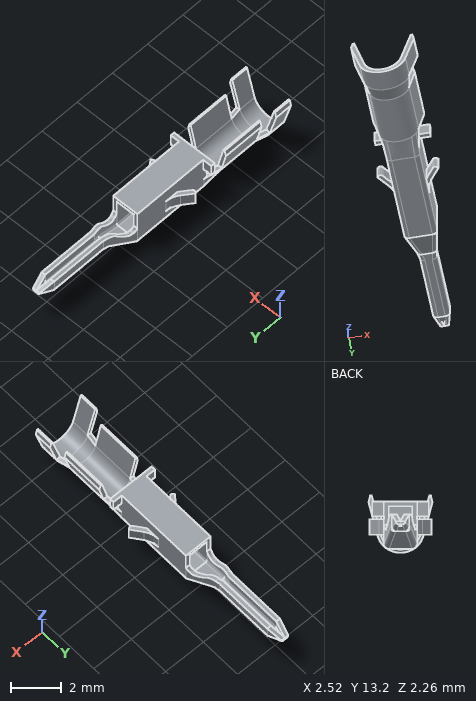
import cadquery as cq
import math

SHEET = 0.2
LENGTH = 13.16
TOP_OVERLAP = 0.4

INSULATION_END = 0.84
WIRE_START = 1.43
WIRE_END = 3.46
PLATE_START = 4.17
BODY_START = 4.33
BODY_END = 8.1
NECK_BEND = 9.44
PIN_START = 9.73
TAPER_START = 12.5

INSULATION_BOTTOM = 0.0
INSULATION_RADIUS = 0.95
INSULATION_TOP = 2.26
INSULATION_LEAN = 15.0
WIRE_BOTTOM = 0.13
WIRE_RADIUS = 0.82
WIRE_TOP = 2.03
WIRE_LEAN = 13.3
WING_BEVEL_HEIGHT = 0.28
WING_EDGE_WIDTH = 0.07

BODY_HALF_WIDTH = 0.66
BODY_BOTTOM = 0.16
BODY_TOP = WIRE_TOP
OUTER_BEND = 0.2
INNER_BEND = 0.08
TROUGH_TOP = 0.75

SHOULDER_HALF_WIDTH = 1.1
SHOULDER_BOTTOM = 1.43

BARB_BOTTOM = 0.71
BARB_TOP = 1.33
BARB_ROOT = 6.49
BARB_BEND_END = 5.88
BARB_TIP = 5.4
BARB_ANGLE = math.radians(37)
BARB_TIP_ROUND = 0.1

PIN_HALF_WIDTH = 0.34
PIN_BOTTOM = 0.84
PIN_TOP = 1.51
TIP_HALF_WIDTH = 0.18
TIP_BOTTOM = 1.13
TIP_TOP = 1.24
TIP_BEND = 0.09
GROOVE_END = 13.11

NECK_TOP_AT_BODY = 1.1
NECK_DIP = (8.36, 0.92)
NECK_DIP_END = (8.53, 0.93)
NECK_SLOPE = (8.95, 1.21)
NECK_CREST = 9.5
NECK_RISE_DIRECTION = (1, 0.5)

ONE_ARC = (1.0, -1.0)
FIVE_ARCS = (1.0, 0.75, 0.5, -0.5, -0.75, -1.0)


def section(y):
    """Workplane across the part at station y; local axes are (-X, Z) and the normal is +Y."""
    return cq.Workplane(cq.Plane(origin=(0, y, 0), xDir=(-1, 0, 0), normal=(0, 1, 0)))


def side_block(start, end, half_width, bottom, top):
    """Block centred on X between two stations along Y."""
    size = (2 * half_width, end - start, top - bottom)
    return cq.Workplane("XY").box(*size, centered=(True, False, False)).translate((0, start, bottom))


def barrel(start, end, bottom, radius, top, lean_degrees):
    """Open crimp barrel: round floor, two leaning wings bevelled on the outside of their edges."""
    lean = math.radians(lean_degrees)
    center = bottom + radius
    inner_radius = radius - SHEET

    def wing_x(r, z):
        tangent_z = center - r * math.sin(lean)
        return r * math.cos(lean) + (z - tangent_z) * math.tan(lean)

    bevel_z = top - WING_BEVEL_HEIGHT
    outer_x, outer_z = radius * math.cos(lean), center - radius * math.sin(lean)
    inner_x, inner_z = inner_radius * math.cos(lean), center - inner_radius * math.sin(lean)
    bevel_x = wing_x(radius, bevel_z)
    edge_x = wing_x(inner_radius, top)
    return (
        section(start)
        .moveTo(-outer_x, outer_z)
        .threePointArc((0, bottom), (outer_x, outer_z))
        .lineTo(bevel_x, bevel_z)
        .lineTo(edge_x + WING_EDGE_WIDTH, top)
        .lineTo(edge_x, top)
        .lineTo(inner_x, inner_z)
        .threePointArc((0, bottom + SHEET), (-inner_x, inner_z))
        .lineTo(-edge_x, top)
        .lineTo(-edge_x - WING_EDGE_WIDTH, top)
        .lineTo(-bevel_x, bevel_z)
        .close()
        .extrude(end - start)
    )


def arc_trough(y, bottom, radius, lean_degrees, splits):
    """Section of a barrel floor; five arcs pair with the five stretches of a channel section."""
    lean = math.radians(lean_degrees)
    half_sweep = math.pi / 2 - lean

    def point(r, share):
        angle = share * half_sweep
        return (r * math.sin(angle), bottom + radius - r * math.cos(angle))

    def add_arcs(wire, r, shares):
        for here, there in zip(shares, shares[1:]):
            wire = wire.threePointArc(point(r, (here + there) / 2), point(r, there))
        return wire

    inner_radius = radius - SHEET
    wire = section(y).moveTo(*point(radius, splits[0]))
    wire = add_arcs(wire, radius, splits)
    wire = wire.lineTo(*point(inner_radius, splits[-1]))
    wire = add_arcs(wire, inner_radius, splits[::-1])
    return wire.close().val()


def add_floor(wire, half_width, bottom, bend, side):
    """Continue a wire down one wall, across a floor with bent corners, to the other wall."""
    corner = bend * (1 - math.sqrt(0.5))
    near_mid = (side * (half_width - corner), bottom + corner)
    far_mid = (-side * (half_width - corner), bottom + corner)
    return (
        wire.lineTo(side * half_width, bottom + bend)
        .threePointArc(near_mid, (side * (half_width - bend), bottom))
        .lineTo(-side * (half_width - bend), bottom)
        .threePointArc(far_mid, (-side * half_width, bottom + bend))
    )


def channel(y, half_width, bottom, top):
    """U section of sheet with bent lower corners."""
    inner = half_width - SHEET
    wire = section(y).moveTo(half_width, top)
    wire = add_floor(wire, half_width, bottom, OUTER_BEND, side=1)
    wire = wire.lineTo(-half_width, top).lineTo(-inner, top)
    wire = add_floor(wire, inner, bottom + SHEET, INNER_BEND, side=-1)
    return wire.lineTo(inner, top).close().val()


def filled_channel(y, half_width, bottom, top, bend):
    """Solid section with the outside shape of a channel."""
    wire = section(y).moveTo(half_width, top)
    wire = add_floor(wire, half_width, bottom, bend, side=1)
    return wire.lineTo(-half_width, top).close().val()


def loft(*wires):
    return cq.Workplane(cq.Solid.makeLoft(list(wires), True))


def make_barrels():
    """Both crimp barrels with the troughs that join them to each other and to the body."""
    insulation = barrel(
        0, INSULATION_END, INSULATION_BOTTOM, INSULATION_RADIUS, INSULATION_TOP, INSULATION_LEAN
    )
    wire = barrel(WIRE_START, WIRE_END, WIRE_BOTTOM, WIRE_RADIUS, WIRE_TOP, WIRE_LEAN)
    rear_trough = loft(
        arc_trough(INSULATION_END, INSULATION_BOTTOM, INSULATION_RADIUS, INSULATION_LEAN, ONE_ARC),
        arc_trough(WIRE_START, WIRE_BOTTOM, WIRE_RADIUS, WIRE_LEAN, ONE_ARC),
    )
    front_trough = loft(
        arc_trough(WIRE_END, WIRE_BOTTOM, WIRE_RADIUS, WIRE_LEAN, FIVE_ARCS),
        channel(BODY_START, BODY_HALF_WIDTH, BODY_BOTTOM, TROUGH_TOP),
    )
    return insulation.union(rear_trough).union(wire).union(front_trough)


def make_body():
    """Box tube with a lid and a stop plate across its wire end."""
    walls = loft(
        channel(BODY_START, BODY_HALF_WIDTH, BODY_BOTTOM, BODY_TOP),
        channel(BODY_END, BODY_HALF_WIDTH, BODY_BOTTOM, BODY_TOP),
    )
    plate_end = PLATE_START + SHEET
    lid = side_block(PLATE_START, BODY_END, BODY_HALF_WIDTH, BODY_TOP - SHEET, BODY_TOP)
    plate = side_block(PLATE_START, plate_end, BODY_HALF_WIDTH, TROUGH_TOP, BODY_TOP)
    plate_foot = side_block(
        PLATE_START, plate_end, BODY_HALF_WIDTH - SHEET, BODY_BOTTOM + SHEET, TROUGH_TOP
    )
    shoulders = side_block(PLATE_START, plate_end, SHOULDER_HALF_WIDTH, SHOULDER_BOTTOM, BODY_TOP)
    return walls.union(lid).union(plate).union(plate_foot).union(shoulders)


def make_barb():
    """Barb on the +X side: bent away from the wall, then straight to a rounded tip."""
    radius = (BARB_ROOT - BARB_BEND_END) / math.sin(BARB_ANGLE)
    center_x = BODY_HALF_WIDTH + radius

    def bend(r, angle):
        return (center_x - r * math.cos(angle), BARB_ROOT - r * math.sin(angle))

    run = (BARB_BEND_END - BARB_TIP) / math.cos(BARB_ANGLE)

    def tip(r):
        x, y = bend(r, BARB_ANGLE)
        return (x + run * math.sin(BARB_ANGLE), y - run * math.cos(BARB_ANGLE))

    back_radius = radius + SHEET
    barb = (
        cq.Workplane("XY", origin=(0, 0, BARB_BOTTOM))
        .moveTo(*bend(radius, 0))
        .threePointArc(bend(radius, BARB_ANGLE / 2), bend(radius, BARB_ANGLE))
        .lineTo(*tip(radius))
        .lineTo(*tip(back_radius))
        .lineTo(*bend(back_radius, BARB_ANGLE))
        .threePointArc(bend(back_radius, BARB_ANGLE / 2), bend(back_radius, 0))
        .close()
        .extrude(BARB_TOP - BARB_BOTTOM)
    )
    return barb.edges("|Z").edges("<Y").fillet(BARB_TIP_ROUND)


def make_neck():
    """Channel that narrows and rises from the body to the pin, with a dipped top edge."""
    bend_share = (NECK_BEND - BODY_END) / (PIN_START - BODY_END)
    bend_half_width = BODY_HALF_WIDTH + bend_share * (PIN_HALF_WIDTH - BODY_HALF_WIDTH)
    wall_top = PIN_TOP + TOP_OVERLAP
    neck = loft(
        channel(BODY_END, BODY_HALF_WIDTH, BODY_BOTTOM, wall_top),
        channel(NECK_BEND, bend_half_width, PIN_BOTTOM, wall_top),
        channel(PIN_START, PIN_HALF_WIDTH, PIN_BOTTOM, wall_top),
    )
    above_top_edge = (
        cq.Workplane("YZ")
        .moveTo(BODY_END, NECK_TOP_AT_BODY)
        .threePointArc(NECK_DIP, NECK_DIP_END)
        .spline(
            [NECK_SLOPE, (NECK_CREST, PIN_TOP)],
            tangents=[NECK_RISE_DIRECTION, (1, 0)],
            includeCurrent=True,
        )
        .lineTo(PIN_START, PIN_TOP)
        .lineTo(PIN_START, wall_top)
        .lineTo(BODY_END, wall_top)
        .close()
        .extrude(BODY_HALF_WIDTH, both=True)
    )
    return neck.cut(above_top_edge)


def make_pin():
    """Channel pin whose tip is pinched to a small blunt end."""
    pin = loft(
        channel(PIN_START, PIN_HALF_WIDTH, PIN_BOTTOM, PIN_TOP),
        channel(TAPER_START, PIN_HALF_WIDTH, PIN_BOTTOM, PIN_TOP),
    )
    return pin.union(make_tip())


def make_tip():
    """Tapered tip with a groove that closes to a point.

    The groove floor stays level, so it breaks out where the underside rises past it.
    """
    tip = loft(
        filled_channel(TAPER_START, PIN_HALF_WIDTH, PIN_BOTTOM, PIN_TOP, OUTER_BEND),
        filled_channel(LENGTH, TIP_HALF_WIDTH, TIP_BOTTOM, TIP_TOP, TIP_BEND),
    )
    groove_half_width = PIN_HALF_WIDTH - SHEET
    groove = (
        cq.Workplane("XY", origin=(0, 0, PIN_BOTTOM + SHEET))
        .moveTo(-groove_half_width, TAPER_START)
        .lineTo(groove_half_width, TAPER_START)
        .lineTo(0, GROOVE_END)
        .close()
        .extrude(PIN_TOP - PIN_BOTTOM)
    )
    return tip.cut(groove)


barb = make_barb()
body = make_body().union(barb).union(barb.mirror("YZ"))
result = make_barrels().union(body).union(make_neck()).union(make_pin())